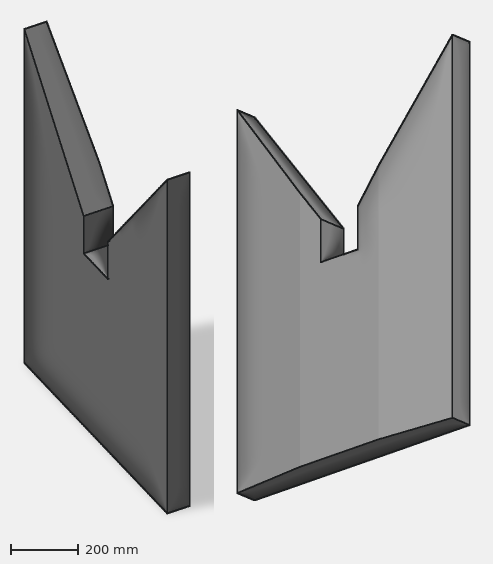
import cadquery as cq

width = 864.0
height = 1232.0
center_thickness = 101.0

edge_thickness = 76.0
back_flat_width = 315.0

slot_width = 147.0
slot_floor_z = 635.0
v_bottom_z = 773.0

half_width = width / 2
half_flat = back_flat_width / 2
half_slot = slot_width / 2
front_y = -center_thickness / 2
back_y = front_y + center_thickness
edge_back_y = front_y + edge_thickness


def make_plate():
    """Full-height plate with a flat front and a tapered back."""
    return (
        cq.Workplane("XY")
        .moveTo(-half_width, front_y)
        .lineTo(half_width, front_y)
        .lineTo(half_width, edge_back_y)
        .lineTo(half_flat, back_y)
        .lineTo(-half_flat, back_y)
        .lineTo(-half_width, edge_back_y)
        .close()
        .extrude(height)
    )


def make_notch():
    """V opening and slot, running through the plate along Y."""
    return (
        cq.Workplane("XZ")
        .moveTo(-half_width, height)
        .lineTo(-half_slot, v_bottom_z)
        .lineTo(-half_slot, slot_floor_z)
        .lineTo(half_slot, slot_floor_z)
        .lineTo(half_slot, v_bottom_z)
        .lineTo(half_width, height)
        .close()
        .extrude(center_thickness, both=True)
    )


result = make_plate().cut(make_notch())